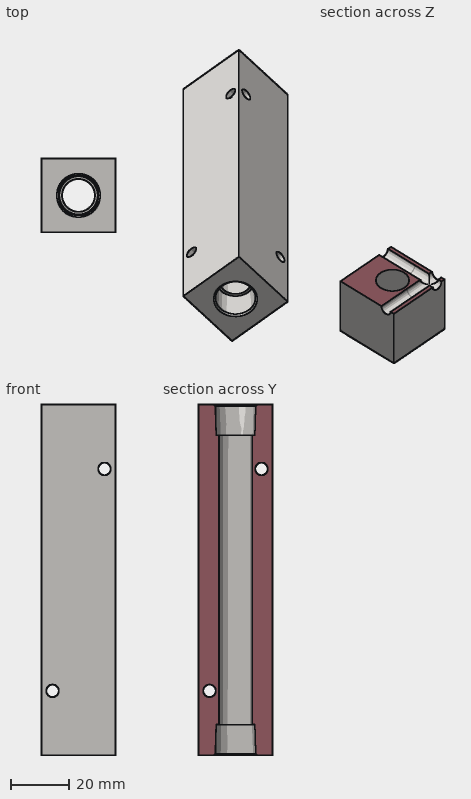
import cadquery as cq

length = 120.6
width = 25.5

bore_diameter = 11.2
seat_diameter = 13.8
seat_depth = 10.6
seat_taper = 1 / 16
mouth_chamfer = 0.6

cross_hole_diameter = 4.2
cross_hole_offset = 8.9
cross_hole_spacing = 76.3


def make_bore():
    """Solid of revolution that fills the bore, its tapered end seats and mouth chamfers."""
    half_length = length / 2
    seat_radius = seat_diameter / 2
    floor_radius = (seat_diameter - seat_taper * (seat_depth - mouth_chamfer)) / 2
    mouth_radius = seat_radius + mouth_chamfer
    bore = cq.Workplane("XY").circle(bore_diameter / 2).extrude(half_length, both=True)
    upper_seat = (
        cq.Workplane("XZ")
        .moveTo(0, half_length - seat_depth)
        .lineTo(floor_radius, half_length - seat_depth)
        .lineTo(seat_radius, half_length - mouth_chamfer)
        .lineTo(mouth_radius, half_length)
        .lineTo(0, half_length)
        .close()
        .revolve(360, (0, 0), (0, 1))
    )
    return bore.union(upper_seat).union(upper_seat.mirror("XY"))


def make_cross_holes(plane):
    """Two diagonal through holes: the upper one on the plus side, the lower on the minus side."""
    half_spacing = cross_hole_spacing / 2
    return (
        cq.Workplane(plane)
        .pushPoints([(cross_hole_offset, half_spacing), (-cross_hole_offset, -half_spacing)])
        .circle(cross_hole_diameter / 2)
        .extrude(width, both=True)
    )


bar = cq.Workplane("XY").box(width, width, length)

result = (
    bar.cut(make_bore())
    .cut(make_cross_holes("XZ"))
    .cut(make_cross_holes("YZ"))
)